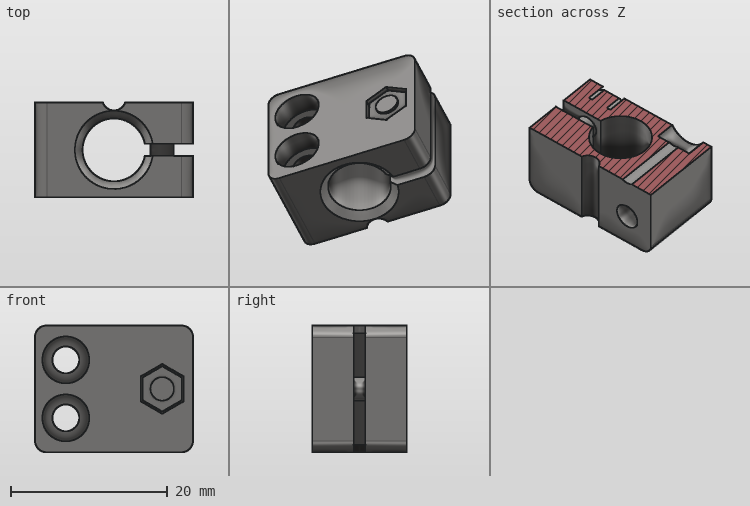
import cadquery as cq

LENGTH = 20.2
DEPTH = 12.1
HEIGHT = 16.2
CORNER_RADIUS = 1.5
FRONT_Y = -DEPTH / 2

BORE_DIAMETER = 8.0
BORE_CHAMFER = 1.0
SLOT_WIDTH = 1.5

GROOVE_DIAMETER = 3.0
GROOVE_DEPTH = 1.0

HOLE_X = -6.15
HOLE_SPACING = 7.4
HOLE_DIAMETER = 3.4
COUNTERBORE_DIAMETER = 6.0
COUNTERBORE_DEPTH = 2.8

SCREW_X = 6.15
SCREW_DIAMETER = 3.0
SCREW_RECESS = 0.1
NUT_WIDTH = 5.0
NUT_THICKNESS = 2.4
NUT_RECESS = 0.4
POCKET_WIDTH = 5.5
POCKET_DEPTH = NUT_RECESS + NUT_THICKNESS


def front_plane(x, z, recess=0.0):
    """Plane parallel to the front (-Y) face, with its normal pointing into the block."""
    return cq.Plane(origin=(x, FRONT_Y + recess, z), xDir=(1, 0, 0), normal=(0, 1, 0))


def rod_from_front(x, z, diameter, length, recess=0.0):
    return cq.Workplane(front_plane(x, z, recess)).circle(diameter / 2).extrude(length)


def hexagon_from_front(width_across_flats, length, recess=0.0):
    """Hexagonal prism on the screw axis, with corners at top and bottom."""
    return (
        cq.Workplane(front_plane(SCREW_X, 0, recess))
        .polygon(6, width_across_flats, circumscribed=True)
        .extrude(length)
    )


def make_block():
    return cq.Workplane("XY").box(LENGTH, DEPTH, HEIGHT).edges("|Y").fillet(CORNER_RADIUS)


def make_bore():
    """Bore cutter: a half profile revolved about the Z axis."""
    radius = BORE_DIAMETER / 2
    mouth_radius = radius + BORE_CHAMFER
    end_z = HEIGHT / 2
    straight_z = end_z - BORE_CHAMFER
    profile = [
        (0, -end_z),
        (mouth_radius, -end_z),
        (radius, -straight_z),
        (radius, straight_z),
        (mouth_radius, end_z),
        (0, end_z),
    ]
    return cq.Workplane("XZ").polyline(profile).close().revolve(360, (0, 0), (0, 1))


def make_slot():
    """Clamping slot from the bore axis out through the +X side."""
    return cq.Workplane("XY").box(
        LENGTH / 2, SLOT_WIDTH, HEIGHT, centered=(False, True, True)
    )


def make_groove():
    axis_y = DEPTH / 2 - GROOVE_DEPTH + GROOVE_DIAMETER / 2
    return (
        cq.Workplane("XY")
        .center(0, axis_y)
        .circle(GROOVE_DIAMETER / 2)
        .extrude(HEIGHT / 2, both=True)
    )


def make_mounting_hole(z):
    through_hole = rod_from_front(HOLE_X, z, HOLE_DIAMETER, DEPTH)
    return through_hole.union(rod_from_front(HOLE_X, z, COUNTERBORE_DIAMETER, COUNTERBORE_DEPTH))


def make_screw_and_nut():
    """Screw ending flush with the back face, joined to its nut."""
    screw = rod_from_front(SCREW_X, 0, SCREW_DIAMETER, DEPTH - SCREW_RECESS, SCREW_RECESS)
    return screw.union(hexagon_from_front(NUT_WIDTH, NUT_THICKNESS, NUT_RECESS))


result = make_block().cut(make_bore()).cut(make_slot()).cut(make_groove())
for hole_z in (-HOLE_SPACING / 2, HOLE_SPACING / 2):
    result = result.cut(make_mounting_hole(hole_z))
result = result.cut(hexagon_from_front(POCKET_WIDTH, POCKET_DEPTH))
result = result.union(make_screw_and_nut())